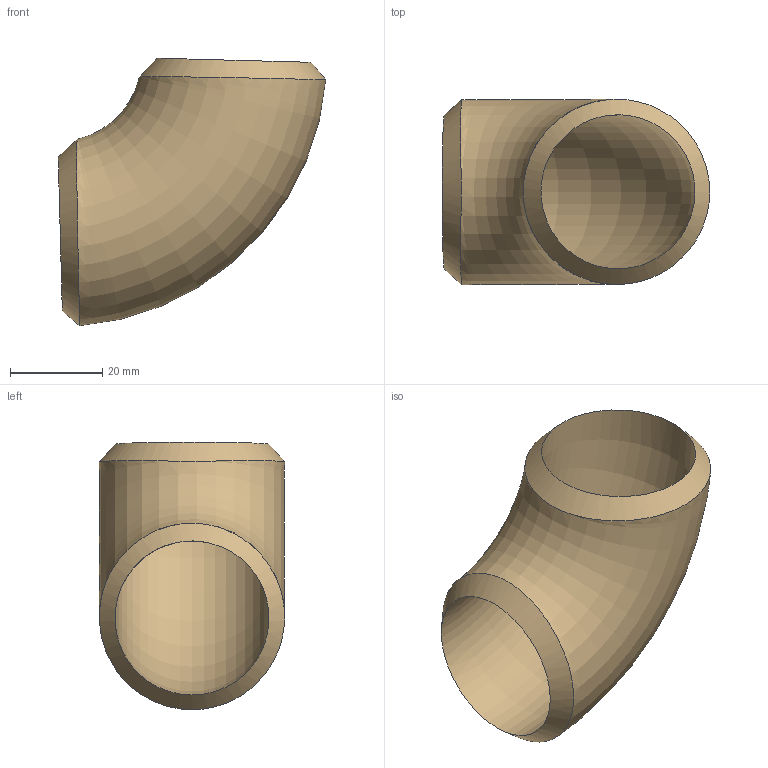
import cadquery as cq
import math

bend_radius = 38.1
bore_diameter = 33.4
wall = 3.38

bevel_slope = 48.2
bevel_tilt = 1.5

bore_radius = bore_diameter / 2
outer_radius = bore_radius + wall
cutter_reach = 1.5 * wall
cutter_lift = 3.0


def quarter_torus(tube_radius):
    """Quarter torus from the mouth on Z = 0 down to the mouth on X = 0."""
    return (
        cq.Workplane("XY")
        .center(bend_radius, 0)
        .circle(tube_radius)
        .revolve(90, (-bend_radius, 0), (-bend_radius, 1))
    )


def bevel_cutter():
    """Ring of triangular section whose inner cone bevels the mouth on Z = 0."""
    rise_per_run = math.tan(math.radians(bevel_slope))
    pivot_x = bend_radius - bore_radius
    rim_radius = bore_radius + cutter_reach
    profile = [
        (bore_radius - cutter_lift / rise_per_run, cutter_lift),
        (rim_radius, -cutter_reach * rise_per_run),
        (rim_radius, cutter_lift),
    ]
    return (
        cq.Workplane("XZ")
        .polyline(profile)
        .close()
        .revolve(360, (0, 0), (0, 1))
        .translate((bend_radius, 0, 0))
        .rotate((pivot_x, 0, 0), (pivot_x, 1, 0), bevel_tilt)
    )


upper_bevel = bevel_cutter()
lower_bevel = upper_bevel.mirror(cq.Vector(1, 0, 1), (0, 0, 0))

elbow = quarter_torus(outer_radius).cut(quarter_torus(bore_radius))
result = elbow.cut(upper_bevel).cut(lower_bevel)